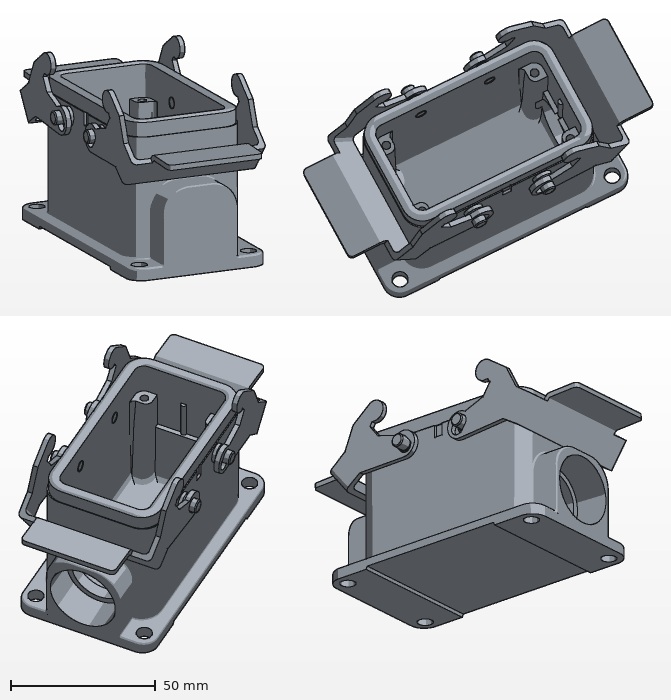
import cadquery as cq
import math

base_length = 93.8
base_width = 51.9
base_height = 4.4
base_corner_radius = 5.8
base_edge_radius = 1.0
base_hole_diameter = 5.6
base_hole_x = 41.2
base_hole_y = 20.9
relief_length = 56.6
relief_depth = 1.1

body_length = 73.0
body_width = 43.4
body_height = 48.2
body_corner_radius = 7.5
foot_radius = 0.7

collar_length = 72.5
collar_width = 42.4
collar_top = 54.0
crown_height = 0.6
rim_width = 3.9
notch_width = 3.3
notch_height = 4.6
notch_depth = 1.0

floor_height = 4.3
cavity_draft = 0.6
floor_radius = 2.8
ledge_height = 27.6
ledge_x = 30.3
end_wall_foot_x = 29.5
rib_radius = 1.1
boss_top = 41.5
boss_size_x = 6.2
boss_size_y = 7.0
boss_corner_radius = 2.6
boss_draft = 1.0
boss_root_radius = 1.7
boss_hole_x = 28.8
boss_hole_y = 13.5
boss_hole_diameter = 3.0
boss_hole_depth = 9.5
drill_tip_angle = 118

hub_width = 28.4
hub_height = 31.8
hub_corner_radius = 10.0
hub_edge_radius = 0.7
entry_height = 17.2
entry_bore_diameter = 25.0
entry_bore_depth = 12.8
entry_hole_diameter = 21.0

pin_spacing = 26.7
pin_z = 44.0
pin_diameter = 4.9
pin_span = 56.0
pin_chamfer = 0.41
pin_collar_diameter = 7.0
pin_collar_chamfer = 0.7
pin_dimple_diameter = 4.0
pin_dimple_depth = 0.2

lever_width = 51.2
sheet = 1.9
lever_bend_radius = 1.8
lever_inner_bend_radius = 1.9
handle_fold_radius = 2.6
lever_lift = 5.4
arm_end_center = (-0.8, -1.0)
arm_end_radius = 5.1
hook_center = (12.1, 15.4)
hook_radius = 3.9
hook_throat_radius = 0.7
hook_throat = (14.1, 10.0)
arm_bend_top = (10.5, 5.5)
arm_join_top = (2.3, 3.1)
shoulder_upper = (21.7, 12.7)
shoulder_lower = (25.4, 3.7)
strap_top = (31.2, -1.1)
strap_bottom = (23.7, -10.1)
arm_bend_bottom = (18.6, -6.3)
handle_fold = (32.8, 0.7)
handle_tip = (46.0, 0.1)
handle_width = 36.0
handle_corner_radius = 1.8
slot_width = 5.0
slot_length = 2.6
slot_angle = 48

pin_x = pin_spacing / 2

cavity_length = collar_length - 2 * rim_width
cavity_width = collar_width - 2 * rim_width
cavity_corner_radius = body_corner_radius - rim_width
cavity_inset = (body_height - floor_height) * math.tan(math.radians(cavity_draft))
lever_inner_y = lever_width / 2 - sheet


def rounded_block(length, width, radius, bottom, top):
    """Upright block centred on Z with rounded vertical corners."""
    block = cq.Workplane("XY").workplane(offset=bottom).rect(length, width).extrude(top - bottom)
    return block.edges("|Z").fillet(radius)


def cylinder_y(diameter, x, y_start, y_end):
    """Cylinder along Y at pin height."""
    plane = cq.Workplane("XZ", origin=(0, y_start, 0)).center(x, pin_z)
    return plane.circle(diameter / 2).extrude(y_start - y_end)


def base_flange():
    flange = rounded_block(base_length, base_width, base_corner_radius, 0, base_height)
    flange = flange.faces(">Z").edges().fillet(base_edge_radius)
    return flange


def underside_relief():
    """Shallow bevelled channel that leaves a foot at each end of the base."""
    half_relief = relief_length / 2
    return (
        cq.Workplane("XZ", origin=(0, base_width / 2, 0))
        .polyline([
            (-half_relief - relief_depth / 2, 0),
            (half_relief + relief_depth / 2, 0),
            (half_relief, relief_depth),
            (-half_relief, relief_depth),
        ])
        .close()
        .extrude(base_width)
    )


def hub(side):
    """Arched hub joining one end of the body to the edge of the base."""
    length = base_length / 2 - body_length / 2 + rim_width
    arch = cq.Workplane("XY").box(length, hub_width, hub_height, centered=(False, True, False))
    arch = arch.translate((base_length / 2 - length, 0, 0))
    arch = arch.edges("|X and >Z").fillet(hub_corner_radius)
    rim = arch.faces(">X").edges("not <Z")
    arch = rim.fillet(hub_edge_radius)
    return arch if side > 0 else arch.mirror("YZ")


def crowned_rim():
    """Ring with a shallow arched top that closes the collar wall."""
    path_length = collar_length - rim_width
    path_width = collar_width - rim_width
    spring = collar_top - crown_height
    half = rim_width / 2
    block = rounded_block(path_length, path_width, body_corner_radius - half, spring, collar_top)
    path = block.faces("<Z").wires()
    profile = (
        cq.Workplane("YZ", origin=(0, -path_width / 2, spring))
        .moveTo(-half, 0)
        .threePointArc((0, crown_height), (half, 0))
        .close()
    )
    return profile.sweep(path)


def end_wall(x_sign):
    """Sloping lower part of one cavity end wall, with a ledge on top and a rounded foot."""
    arc_middle = (end_wall_foot_x - floor_radius * (1 - math.sqrt(0.5)),
                  floor_height + floor_radius * (1 - math.sqrt(0.5)))
    wall = (
        cq.Workplane("XZ", origin=(0, body_width / 2, 0))
        .moveTo(body_length / 2, floor_height)
        .lineTo(end_wall_foot_x - floor_radius, floor_height)
        .threePointArc(arc_middle, (end_wall_foot_x, floor_height + floor_radius))
        .lineTo(ledge_x, ledge_height)
        .lineTo(body_length / 2, ledge_height)
        .close()
        .extrude(body_width)
    )
    return wall if x_sign > 0 else wall.mirror("YZ")


def boss(x_sign, y_sign):
    """Drafted corner boss with a flared foot, overrunning the cavity to show one corner only."""
    center = (x_sign * cavity_length / 2, y_sign * cavity_width / 2)
    column = (
        cq.Workplane("XY", origin=(*center, boss_top))
        .sketch()
        .rect(2 * boss_size_x, 2 * boss_size_y)
        .vertices()
        .fillet(boss_corner_radius)
        .finalize()
        .extrude(floor_height - boss_top, taper=-boss_draft)
    )
    slab = (
        cq.Workplane("XY", origin=(*center, floor_height))
        .rect(4 * boss_size_x, 4 * boss_size_y)
        .extrude(-floor_radius)
    )
    flared = column.union(slab)
    inside_slab = cq.selectors.BoxSelector(
        (center[0] - 1.9 * boss_size_x, center[1] - 1.9 * boss_size_y, floor_height - 0.06),
        (center[0] + 1.9 * boss_size_x, center[1] + 1.9 * boss_size_y, floor_height + 0.06),
        boundingbox=True,
    )
    return flared.edges(inside_slab).fillet(floor_radius)


def boss_root(x_sign, y_sign):
    """Concave web that blends a boss into the long cavity wall."""
    boss_face = cavity_length / 2 - boss_size_x
    wall_face = (cavity_width - cavity_inset) / 2
    web = (
        cq.Workplane("XY", origin=(0, 0, floor_height))
        .moveTo(boss_face + boss_root_radius, wall_face + cavity_inset)
        .lineTo(boss_face - boss_root_radius, wall_face + cavity_inset)
        .lineTo(boss_face - boss_root_radius, wall_face)
        .radiusArc((boss_face, wall_face - boss_root_radius), boss_root_radius)
        .lineTo(boss_face + boss_root_radius, wall_face - boss_root_radius)
        .close()
        .extrude(boss_top - floor_height)
    )
    if x_sign < 0:
        web = web.mirror("YZ")
    return web if y_sign > 0 else web.mirror("XZ")


def end_rib(x_sign):
    """Half-round rib standing on the ledge of one end wall."""
    foot = (x_sign * (cavity_length - cavity_inset) / 2, 0, ledge_height)
    return cq.Workplane("XY", origin=foot).circle(rib_radius).extrude(boss_top - ledge_height)


def cavity():
    """Everything removed from inside the housing, with bosses, ledges and ribs left standing."""
    upper = rounded_block(cavity_length, cavity_width, cavity_corner_radius, body_height, collar_top)
    lower = (
        cq.Workplane("XY", origin=(0, 0, body_height))
        .sketch()
        .rect(cavity_length, cavity_width)
        .vertices()
        .fillet(cavity_corner_radius)
        .finalize()
        .extrude(floor_height - body_height, taper=cavity_draft)
    )
    lower = lower.faces("<Z").edges().fillet(floor_radius)
    for x_sign in (-1, 1):
        lower = lower.cut(end_wall(x_sign)).cut(end_rib(x_sign))
        for y_sign in (-1, 1):
            lower = lower.cut(boss(x_sign, y_sign)).cut(boss_root(x_sign, y_sign))
    return upper.union(lower, clean=False)


def boss_hole(x, y):
    """Blind drilled hole with a conical tip."""
    radius = boss_hole_diameter / 2
    tip = radius / math.tan(math.radians(drill_tip_angle / 2))
    return (
        cq.Workplane("XZ", origin=(x, y, boss_top))
        .polyline([(0, 0), (radius, 0), (radius, -boss_hole_depth), (0, -boss_hole_depth - tip)])
        .close()
        .revolve(360, (0, 0, 0), (0, 1, 0))
    )


def cable_entry():
    """Stepped bore through the -X hub into the cavity."""
    plane = cq.Workplane("YZ", origin=(-base_length / 2, 0, entry_height))
    bore = plane.circle(entry_bore_diameter / 2).extrude(entry_bore_depth)
    hole = plane.circle(entry_hole_diameter / 2).extrude(base_length / 2 - ledge_x + floor_radius)
    return bore.union(hole)


def lever_pin(x, y_sign):
    """Collared pin standing out of one side wall."""
    root = y_sign * (cavity_width + rim_width) / 2
    outer_face = ">Y" if y_sign > 0 else "<Y"
    collar = cylinder_y(pin_collar_diameter, x, root, y_sign * lever_inner_y)
    collar = collar.faces(outer_face).chamfer(pin_collar_chamfer)
    pin = cylinder_y(pin_diameter, x, root, y_sign * pin_span / 2)
    pin = pin.faces(outer_face).chamfer(pin_chamfer)
    return collar.union(pin)


def foot_edges():
    """Selects the inner corners where the body meets the base and the hubs."""
    reach_x = body_length / 2 + 0.06
    reach_y = body_width / 2 + 0.06
    return cq.selectors.BoxSelector(
        (-reach_x, -reach_y, base_height - 0.06), (reach_x, reach_y, hub_height + 0.06), boundingbox=True)


def hub_foot_edges():
    """Selects the straight corners between the hub sides and the top of the base."""
    reach_y = hub_width / 2 + 0.06
    return cq.selectors.BoxSelector(
        (-base_length / 2, -reach_y, base_height - 0.06),
        (base_length / 2, reach_y, base_height + 0.06), boundingbox=True)


def make_housing():
    housing = base_flange()
    body = rounded_block(body_length, body_width, body_corner_radius, 0, body_height)
    housing = housing.union(body).union(hub(-1)).union(hub(1))
    housing = housing.edges(foot_edges() + hub_foot_edges()).fillet(foot_radius)
    housing = housing.cut(underside_relief())
    collar = rounded_block(
        collar_length, collar_width, body_corner_radius, body_height, collar_top - crown_height)
    housing = housing.union(collar)

    for y_sign in (-1, 1):
        notch = cq.Workplane("XY").box(notch_width, 2 * notch_depth, notch_height)
        center = (0, y_sign * body_width / 2, body_height - notch_height / 2)
        housing = housing.cut(notch.translate(center))

    housing = housing.union(crowned_rim())
    housing = housing.cut(cavity()).cut(cable_entry())

    for x_sign in (-1, 1):
        for y_sign in (-1, 1):
            housing = housing.cut(boss_hole(x_sign * boss_hole_x, y_sign * boss_hole_y))
            mounting_hole = (
                cq.Workplane("XY", origin=(x_sign * base_hole_x, y_sign * base_hole_y, 0))
                .circle(base_hole_diameter / 2)
                .extrude(base_height)
            )
            housing = housing.cut(mounting_hole)
            housing = housing.union(lever_pin(x_sign * pin_x, y_sign))
            dimple = cylinder_y(pin_dimple_diameter, x_sign * pin_x, 0,
                                y_sign * (cavity_width / 2 + pin_dimple_depth))
            housing = housing.cut(dimple)
    return housing


def midpoint(start, end):
    return ((start[0] + end[0]) / 2, (start[1] + end[1]) / 2)


def square_off(start, end, point):
    """Point one sheet thickness to the right of the direction start to end."""
    length = math.dist(start, end)
    return (point[0] + (end[1] - start[1]) / length * sheet,
            point[1] - (end[0] - start[0]) / length * sheet)


def mitred(start, corner, end):
    """Corner of the parallel path one sheet thickness to the right of start, corner, end."""
    before = square_off(start, corner, (0, 0))
    after = square_off(corner, end, (0, 0))
    scale = sheet ** 2 / (sheet ** 2 + before[0] * after[0] + before[1] * after[1])
    return (corner[0] + (before[0] + after[0]) * scale, corner[1] + (before[1] + after[1]) * scale)


def on_circle(center, radius, degrees):
    angle = math.radians(degrees)
    return (center[0] + radius * math.cos(angle), center[1] + radius * math.sin(angle))


def side_plate_outline(plane):
    """Flat lever arm: slotted pivot end, hook, shoulder and cross-strap edge."""
    hook_back = on_circle(hook_center, hook_radius, 52)
    hook_tip = on_circle(hook_center, hook_radius, 160)
    hook_mouth = on_circle(hook_center, hook_radius, 275)
    arm_under = (arm_end_center[0], arm_end_center[1] - arm_end_radius)
    arm_nose = (arm_end_center[0] - arm_end_radius, arm_end_center[1])
    strap_outer_bottom = square_off(strap_bottom, strap_top, strap_bottom)
    strap_outer_top = square_off(strap_bottom, strap_top, strap_top)
    throat_edge = (hook_mouth[0] + hook_throat_radius, hook_mouth[1])
    return (
        plane.moveTo(*arm_join_top)
        .lineTo(*arm_bend_top)
        .lineTo(*hook_throat)
        .lineTo(*throat_edge)
        .lineTo(*hook_mouth)
        .threePointArc(hook_tip, hook_back)
        .lineTo(*shoulder_upper)
        .lineTo(*shoulder_lower)
        .lineTo(*strap_top)
        .lineTo(*strap_outer_top)
        .lineTo(*strap_outer_bottom)
        .lineTo(*strap_bottom)
        .lineTo(*arm_bend_bottom)
        .lineTo(*arm_under)
        .threePointArc(arm_nose, arm_join_top)
        .close()
    )


def make_lever():
    """Lever for the +X end, built about its pin axis."""
    def plane_at(y):
        return cq.Workplane("XZ", origin=(0, y, 0))

    lever = side_plate_outline(plane_at(lever_width / 2)).extrude(sheet)
    lever = lever.union(side_plate_outline(plane_at(-lever_inner_y)).extrude(sheet))

    strap_outer_bottom = square_off(strap_bottom, strap_top, strap_bottom)
    strap_outer_top = square_off(strap_bottom, strap_top, strap_top)
    strap = (
        plane_at(lever_width / 2)
        .polyline([strap_bottom, strap_top, strap_outer_top, strap_outer_bottom])
        .close()
        .extrude(lever_width)
    )
    lever = lever.union(strap)
    outer = midpoint(strap_outer_bottom, strap_outer_top)
    inner = midpoint(strap_bottom, strap_top)
    for y_sign in (-1, 1):
        inner_bend = (inner[0], y_sign * lever_inner_y, inner[1])
        lever = lever.edges(cq.selectors.NearestToPointSelector(inner_bend)).fillet(lever_inner_bend_radius)
        outer_bend = (outer[0], y_sign * lever_width / 2, outer[1])
        lever = lever.edges(cq.selectors.NearestToPointSelector(outer_bend)).fillet(lever_bend_radius)

    tip_under = square_off(handle_fold, handle_tip, handle_tip)
    fold_under = mitred(strap_bottom, handle_fold, handle_tip)
    handle = (
        plane_at(handle_width / 2)
        .polyline([strap_top, handle_fold, handle_tip, tip_under, fold_under, strap_outer_top])
        .close()
        .extrude(handle_width)
    )
    over_fold = (handle_fold[0], 0, handle_fold[1])
    under_fold = (fold_under[0], 0, fold_under[1])
    handle = handle.edges(cq.selectors.NearestToPointSelector(over_fold)).fillet(handle_fold_radius)
    handle = handle.edges(cq.selectors.NearestToPointSelector(under_fold)).fillet(handle_fold_radius - sheet)
    handle = handle.faces(">X").edges("not |Y").fillet(handle_corner_radius)
    lever = lever.union(handle)

    slot_rad = math.radians(slot_angle)
    slot = (
        plane_at(lever_width / 2)
        .center(-slot_length / 2 * math.cos(slot_rad), -slot_length / 2 * math.sin(slot_rad))
        .slot2D(slot_length + slot_width, slot_width, slot_angle)
        .extrude(lever_width)
    )
    return lever.cut(slot)


housing = make_housing()

right_lever = make_lever().translate((pin_x, 0, pin_z))
left_lever = (
    make_lever()
    .rotate((0, 0, 0), (0, 1, 0), -lever_lift)
    .translate((pin_x, 0, pin_z))
    .mirror("YZ")
)

result = cq.Compound.makeCompound([housing.val(), right_lever.val(), left_lever.val()])